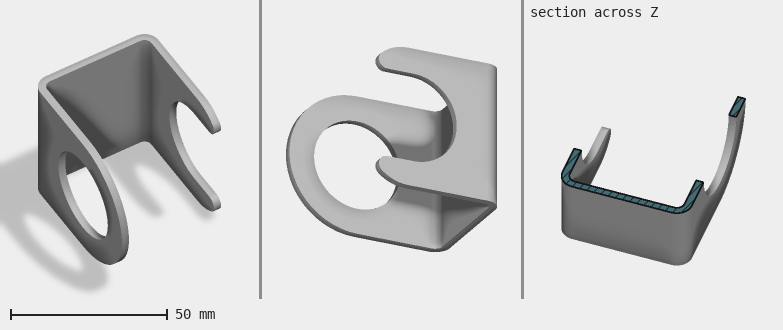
import cadquery as cq
import math

length = 55.5
depth = 44.0
height = 48.0
thickness = 2.6
bend_radius = 5.15
opening_radius = 15.25
rear_length = 43.8
shoulder_radius = 14.0
tip_radius = 3.0

half_height = height / 2
end_center_x = length - half_height

tip_x = rear_length - tip_radius
tip_z = opening_radius + tip_radius
shoulder_z = half_height - shoulder_radius
center_gap = shoulder_radius - tip_radius
shoulder_x = tip_x - math.sqrt(center_gap**2 - (tip_z - shoulder_z) ** 2)
touch_angle = math.atan2(tip_z - shoulder_z, tip_x - shoulder_x)


def bent_sheet():
    """Channel bent from flat sheet, open toward +X and centered on Z = 0."""
    outer = cq.Workplane("XY").box(length, depth, height, centered=(False, True, True))
    outer = outer.edges("|Z and <X").fillet(bend_radius)
    inner = (
        cq.Workplane("XY")
        .box(length, depth - 2 * thickness, height, centered=(False, True, True))
        .translate((thickness, 0, 0))
        .edges("|Z and <X")
        .fillet(bend_radius - thickness)
    )
    return outer.cut(inner)


def front_profile():
    """Flange outline with a half-round end and a concentric hole, filling Y < 0."""
    outline = (
        cq.Workplane("XZ")
        .moveTo(0, -half_height)
        .lineTo(end_center_x, -half_height)
        .threePointArc((length, 0), (end_center_x, half_height))
        .lineTo(0, half_height)
        .close()
        .extrude(depth / 2)
    )
    hole = cq.Workplane("XZ").center(end_center_x, 0).circle(opening_radius).extrude(depth / 2)
    return outline.cut(hole)


def arc_point(center_x, center_z, radius, angle):
    """Point on a circle in the XZ plane, with the angle measured from +X."""
    return (center_x + radius * math.cos(angle), center_z + radius * math.sin(angle))


def mirrored(point):
    """Same point on the other side of Z = 0."""
    return (point[0], -point[1])


def rear_profile():
    """Flange outline with a round-bottomed slot between two prongs, filling Y > 0."""
    shoulder_start = (shoulder_x, half_height)
    shoulder_middle = arc_point(shoulder_x, shoulder_z, shoulder_radius, (math.pi / 2 + touch_angle) / 2)
    touch = arc_point(shoulder_x, shoulder_z, shoulder_radius, touch_angle)
    tip_middle = arc_point(tip_x, tip_z, tip_radius, (touch_angle - math.pi / 2) / 2)
    tip_end = (tip_x, opening_radius)
    slot_end = (end_center_x, opening_radius)
    return (
        cq.Workplane("XZ")
        .moveTo(0, half_height)
        .lineTo(*shoulder_start)
        .threePointArc(shoulder_middle, touch)
        .threePointArc(tip_middle, tip_end)
        .lineTo(*slot_end)
        .threePointArc((end_center_x - opening_radius, 0), mirrored(slot_end))
        .lineTo(*mirrored(tip_end))
        .threePointArc(mirrored(tip_middle), mirrored(touch))
        .threePointArc(mirrored(shoulder_middle), mirrored(shoulder_start))
        .lineTo(0, -half_height)
        .close()
        .extrude(-depth / 2)
    )


front_half = bent_sheet().intersect(front_profile())
rear_half = bent_sheet().intersect(rear_profile())
result = front_half.union(rear_half).clean()